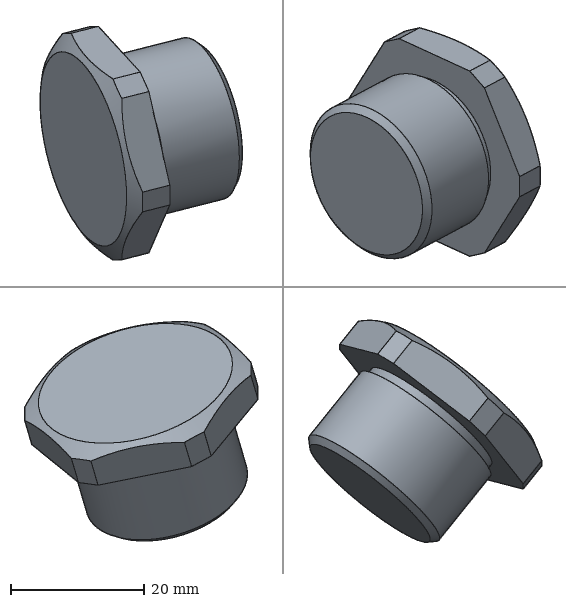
import cadquery as cq
import math

across_flats = 32.0
across_trimmed_corners = 34.95
head_height = 6.0
face_diameter = 30.0
bevel_angle = 30.0

total_length = 21.0
neck_length = 1.5
neck_diameter = 23.05
shank_diameter = 25.0
shank_chamfer = 1.0

HEX_SIDES = 6


def along_y(start):
    """Workplane at Y = start whose extrusions run toward +Y."""
    return cq.Workplane(cq.Plane(origin=(0, start, 0), xDir=(1, 0, 0), normal=(0, 1, 0)))


def make_head():
    """Hexagon with flats at top and bottom, flat-trimmed corners and a conical bevel."""
    hex_corner_diameter = across_flats / math.cos(math.pi / HEX_SIDES)
    trim_corner_diameter = across_trimmed_corners / math.cos(math.pi / HEX_SIDES)

    head = along_y(0).polygon(HEX_SIDES, hex_corner_diameter).extrude(head_height)
    trim = along_y(0).polygon(HEX_SIDES, trim_corner_diameter).extrude(head_height)
    trim = trim.rotate((0, 0, 0), (0, 1, 0), 180 / HEX_SIDES)

    face_radius = face_diameter / 2
    outer_radius = hex_corner_diameter / 2
    bevel_depth = (outer_radius - face_radius) * math.tan(math.radians(bevel_angle))
    bevel_envelope = (
        cq.Workplane("XY")
        .lineTo(face_radius, 0)
        .lineTo(outer_radius, bevel_depth)
        .lineTo(outer_radius, head_height)
        .lineTo(0, head_height)
        .close()
        .revolve(360, (0, 0, 0), (0, 1, 0))
    )
    return head.intersect(trim).intersect(bevel_envelope)


def make_neck():
    """Relief groove between the head and the shank."""
    return along_y(head_height).circle(neck_diameter / 2).extrude(neck_length)


def make_shank():
    """Plain cylinder with a chamfered free end."""
    start = head_height + neck_length
    shank = along_y(start).circle(shank_diameter / 2).extrude(total_length - start)
    return shank.faces(">Y").chamfer(shank_chamfer)


result = make_head().union(make_neck()).union(make_shank())